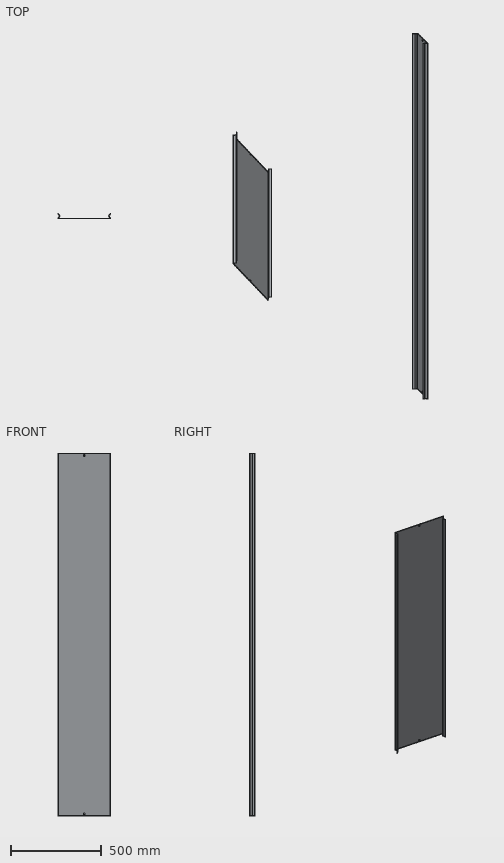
import cadquery as cq

length = 2000.0
width = 292.0
depth = 28.0

sheet = 2.0
throat_inset = 12.0
throat_y = 15.0

hole_diameter = 8.0
hole_end_distance = 12.0

half_width = width / 2
front_y = -depth / 2
back_y = depth / 2


def front_panel():
    """Flat face sheet spanning the full width."""
    return cq.Workplane("XY").box(width, sheet, length).translate((0, front_y + sheet / 2, 0))


def edge_flange(side):
    """Folded edge: inward slope to the throat, then outward flare."""
    outer_x = half_width
    throat_x = half_width - throat_inset
    fold_y = front_y + throat_y
    profile = [
        (outer_x, front_y),
        (throat_x + sheet, fold_y),
        (outer_x, back_y),
        (outer_x - sheet, back_y),
        (throat_x, fold_y),
        (outer_x - sheet, front_y),
    ]
    points = [(side * x, y) for x, y in profile]
    return cq.Workplane("XY").polyline(points).close().extrude(length / 2, both=True)


def fixing_holes():
    """Two round cutters through the face sheet, one near each end."""
    hole_z = length / 2 - hole_end_distance
    return (
        cq.Workplane("XZ")
        .pushPoints([(0, hole_z), (0, -hole_z)])
        .circle(hole_diameter / 2)
        .extrude(depth, both=True)
    )


result = front_panel()
for side in (-1, 1):
    result = result.union(edge_flange(side))
result = result.cut(fixing_holes())